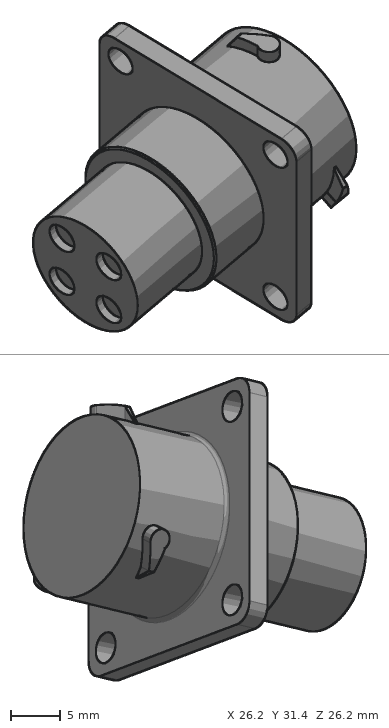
import cadquery as cq
import math


total_length = 31.42

flange_side = 26.2
flange_thickness = 2.35
flange_corner_radius = 2.0
mount_hole_diameter = 3.2
mount_hole_spacing = 20.6

shell_diameter = 19.0
shell_length = 11.35
shell_root_fillet = 0.4

collar_diameter = 17.47
collar_length = 7.6
collar_chamfer = 0.2
insert_diameter = 13.95

contact_diameter = 3.3
contact_spacing = 6.22
contact_depth = 1.0

lug_count = 3
lug_outer_radius = 10.95
lug_pin_radius = 1.15
lug_pin_from_rear = 2.6
lug_bend_x = -3.4
lug_bend_y = -0.28
lug_tip_x = -4.68
lug_tip_y = -0.63
lug_straight_y = -0.95

shell_radius = shell_diameter / 2
shell_rear_y = flange_thickness + shell_length
tip_y = shell_rear_y - total_length
lug_pin_y = shell_rear_y - lug_pin_from_rear


def cylinder_along_y(diameter, start_y, end_y):
    """Solid cylinder on the connector axis between two Y positions."""
    plane = cq.Workplane("XZ", origin=(0, start_y, 0))
    return plane.circle(diameter / 2).extrude(start_y - end_y)


def make_flange():
    flange = (
        cq.Workplane("XZ")
        .rect(flange_side, flange_side)
        .extrude(-flange_thickness)
        .edges("|Y")
        .fillet(flange_corner_radius)
    )
    holes = (
        cq.Workplane("XZ")
        .rect(mount_hole_spacing, mount_hole_spacing, forConstruction=True)
        .vertices()
        .circle(mount_hole_diameter / 2)
        .extrude(-flange_thickness)
    )
    return flange.cut(holes)


def make_shell_root_fillet():
    """Ring with a concave quarter-round between the shell and the flange."""
    inner_radius = shell_radius - shell_root_fillet
    edge_radius = shell_radius + shell_root_fillet
    fillet_end_y = flange_thickness + shell_root_fillet
    arc_offset = shell_root_fillet * (1 - math.sqrt(0.5))
    return (
        cq.Workplane("XY")
        .moveTo(inner_radius, flange_thickness)
        .lineTo(edge_radius, flange_thickness)
        .threePointArc(
            (shell_radius + arc_offset, flange_thickness + arc_offset),
            (shell_radius, fillet_end_y),
        )
        .lineTo(inner_radius, fillet_end_y)
        .close()
        .revolve(360, (0, 0, 0), (0, 1, 0))
    )


def make_contact_recesses():
    return (
        cq.Workplane("XZ", origin=(0, tip_y, 0))
        .rect(contact_spacing, contact_spacing, forConstruction=True)
        .vertices()
        .circle(contact_diameter / 2)
        .extrude(-contact_depth)
    )


def make_lug():
    """Teardrop lug on top of the shell, its tail pointing to -X."""
    bend_distance = math.hypot(lug_bend_x, lug_bend_y)
    bend_angle = math.atan2(lug_bend_y, lug_bend_x)
    touch_angle = bend_angle - math.acos(lug_pin_radius / bend_distance)
    touch_point = (lug_pin_radius * math.cos(touch_angle), lug_pin_radius * math.sin(touch_angle))
    straight_start_x = -math.sqrt(lug_pin_radius**2 - lug_straight_y**2)

    teardrop = (
        cq.Workplane("XY", origin=(0, lug_pin_y, 0))
        .moveTo(straight_start_x, lug_straight_y)
        .threePointArc((lug_pin_radius, 0), touch_point)
        .lineTo(lug_bend_x, lug_bend_y)
        .lineTo(lug_tip_x, lug_tip_y)
        .lineTo(lug_tip_x, lug_straight_y)
        .close()
        .extrude(lug_outer_radius)
    )

    bend_z = math.sqrt(lug_outer_radius**2 - lug_bend_x**2)
    tip_z = math.sqrt(shell_radius**2 - lug_tip_x**2)
    section = (
        cq.Workplane("XZ", origin=(0, shell_rear_y, 0))
        .moveTo(0, 0)
        .lineTo(lug_tip_x, tip_z)
        .lineTo(lug_bend_x, bend_z)
        .threePointArc((0, lug_outer_radius), (-lug_bend_x, bend_z))
        .close()
        .extrude(shell_length)
    )
    return teardrop.intersect(section)


shell = cylinder_along_y(shell_diameter, flange_thickness, shell_rear_y)
insert = cylinder_along_y(insert_diameter, tip_y, 0)
collar = cylinder_along_y(collar_diameter, -collar_length, 0).faces("<Y").chamfer(collar_chamfer)

result = make_flange().union(shell).union(make_shell_root_fillet()).union(collar).union(insert)
for index in range(lug_count):
    angle = index * 360 / lug_count
    result = result.union(make_lug().rotate((0, 0, 0), (0, 1, 0), angle))
result = result.cut(make_contact_recesses())